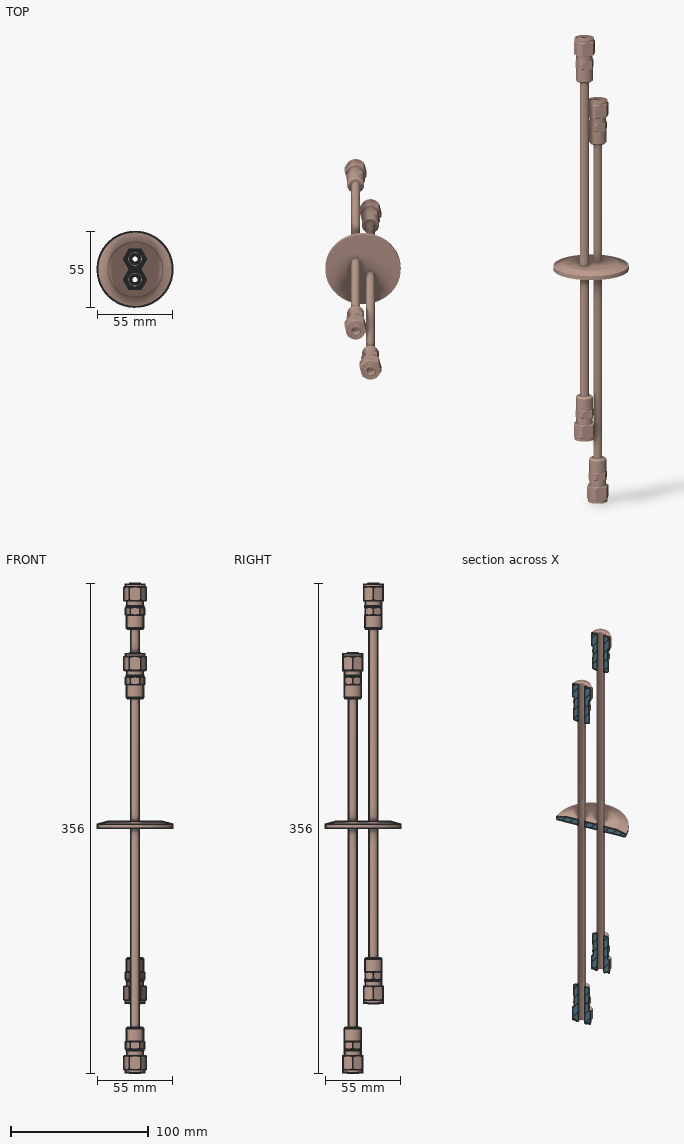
import cadquery as cq
import math

overall_length = 356.0
end_stagger = 50.5
tube_length = overall_length - end_stagger
tube_spacing = 15.0
tube_diameter = 6.5
tube_bore = 5.0

flange_diameter = 55.0
flange_face_diameter = 40.0
flange_thickness = 5.0
flange_taper_angle = 15.0

bead_diameter = 6.8
bead_thickness = 1.0
bead_radius = bead_thickness / 2
gland_diameter = 11.0
clearance_diameter = 12.0
clearance_depth = 1.0
collar_diameter = 14.2
collar_start = bead_radius
collar_end = 2.5
nut_across_flats = 14.2
nut_end = 12.8
neck_diameter = 12.0
shoulder_start = 16.5
wrench_start = 17.5
wrench_end = 23.0
wrench_across_flats = 12.0
body_diameter = 12.5
body_chamfer = 1.0
fitting_length = 33.5
hex_sides = 6
hex_rim_angle = 30.0


def cylinder(diameter, start, end):
    return cq.Workplane("XY").workplane(offset=start).circle(diameter / 2).extrude(end - start)


def hexagon(across_flats, start, end):
    """Hexagonal prism with two corners on the X axis and both rims turned down to the flats."""
    corner_diameter = across_flats / math.cos(math.pi / hex_sides)
    corner_radius = corner_diameter / 2
    flat_radius = across_flats / 2
    drop = (corner_radius - flat_radius) * math.tan(math.radians(hex_rim_angle))
    prism = cq.Workplane("XY").workplane(offset=start).polygon(hex_sides, corner_diameter).extrude(end - start)
    turned_profile = [
        (0, start),
        (flat_radius, start),
        (corner_radius, start + drop),
        (corner_radius, end - drop),
        (flat_radius, end),
        (0, end),
    ]
    envelope = cq.Workplane("XZ").polyline(turned_profile).close().revolve(360, (0, 0), (0, 1))
    return prism.intersect(envelope)


def make_bead():
    """Rounded sealing ring standing on the gland face, its crest on Z = 0."""
    section = cq.Workplane("XZ").center(bead_diameter / 2, collar_start).circle(bead_radius)
    return section.revolve(360, (-bead_diameter / 2, 0), (-bead_diameter / 2, 1))


def make_clearance():
    """Narrow ring-shaped gap between the gland and the collar around it."""
    end = collar_start + clearance_depth
    outer = cylinder(clearance_diameter, collar_start, end)
    return outer.cut(cylinder(gland_diameter, collar_start, end))


def make_fitting():
    """Fitting with its sealing bead touching Z = 0 and its body running up +Z."""
    fitting = cylinder(collar_diameter, collar_start, collar_end)
    fitting = fitting.union(hexagon(nut_across_flats, collar_end, nut_end))
    fitting = fitting.union(cylinder(neck_diameter, nut_end, shoulder_start))
    fitting = fitting.union(cylinder(body_diameter, shoulder_start, wrench_start))
    fitting = fitting.union(hexagon(wrench_across_flats, wrench_start, wrench_end))
    body = cylinder(body_diameter, wrench_end, fitting_length).faces(">Z").chamfer(body_chamfer)
    fitting = fitting.union(body)
    return fitting.cut(make_clearance()).union(make_bead())


def make_tube(y, bottom):
    """Tube with a fitting at each end, still solid."""
    fitting = make_fitting()
    tube = cylinder(tube_diameter, collar_start, tube_length - collar_start)
    upper = fitting.rotate((0, 0, 0), (1, 0, 0), 180).translate((0, 0, tube_length))
    return tube.union(fitting).union(upper).translate((0, y, bottom))


def make_flange():
    """Disc whose upper side tapers from a flat face out to a straight rim."""
    rim_radius = flange_diameter / 2
    face_radius = flange_face_diameter / 2
    rim_height = flange_thickness - (rim_radius - face_radius) * math.tan(math.radians(flange_taper_angle))
    profile = [
        (0, 0),
        (rim_radius, 0),
        (rim_radius, rim_height),
        (face_radius, flange_thickness),
        (0, flange_thickness),
    ]
    return cq.Workplane("XZ").polyline(profile).close().revolve(360, (0, 0), (0, 1))


tube_places = [
    (-tube_spacing / 2, -overall_length / 2),
    (tube_spacing / 2, overall_length / 2 - tube_length),
]

result = make_flange()
for y, bottom in tube_places:
    bore = cylinder(tube_bore, bottom, bottom + tube_length).translate((0, y, 0))
    result = result.union(make_tube(y, bottom)).cut(bore)